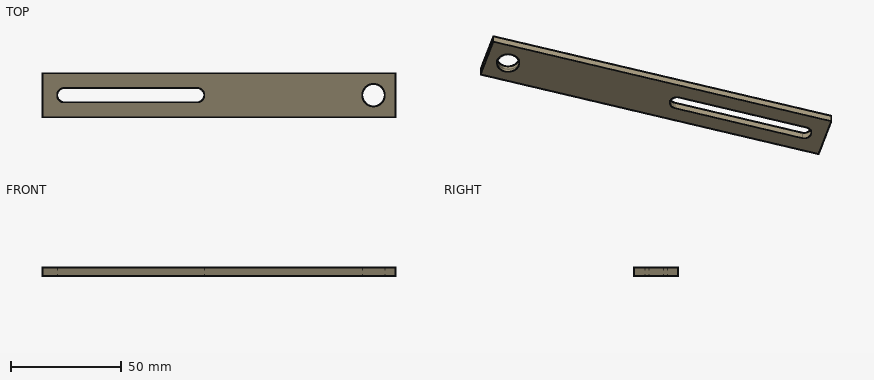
import cadquery as cq

length = 160.0
width = 20.0
thickness = 4.0

hole_diameter = 10.0
hole_x = length / 2 - width / 2

slot_length = 66.5
slot_width = 6.4
slot_end_margin = 6.7
slot_x = -length / 2 + slot_end_margin + slot_length / 2

bar = cq.Workplane("XY").box(length, width, thickness)

hole = cq.Workplane("XY").center(hole_x, 0).circle(hole_diameter / 2).extrude(thickness, both=True)

slot = cq.Workplane("XY").center(slot_x, 0).slot2D(slot_length, slot_width).extrude(thickness, both=True)

result = bar.cut(hole).cut(slot)